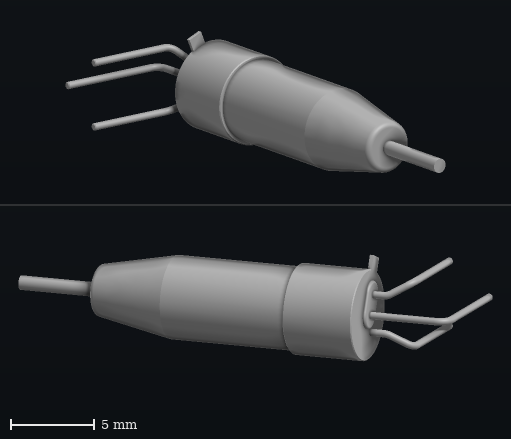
import cadquery as cq
import math

flange_diameter = 5.56
flange_length = 4.45
flange_chamfer = 0.06
body_diameter = 5.1
body_end = 12.45
nose_length = 4.98
nose_diameter = 3.1
nose_fillet = 0.35
fiber_diameter = 0.88
fiber_length = 5.0

index_angle = 22.5
tab_width = 0.95
tab_thickness = 0.25
tab_reach = 3.6
pad_radius = 0.85
pad_height = 0.18
pad_fillet = 0.15

pin_circle_radius = 1.27
lead_diameter = 0.45
lead_bend_radius = 0.7
lead_tip_y = -7.0
lead_tip_chamfer = 0.06
lead_root_x = 0.3
center_lead_x = -5.075
outer_lead_x = -2.5
outer_lead_z = 2.0
outer_splay_x = -1.05
outer_turn_y = -1.14

nose_end = body_end + nose_length
pin_y = -pin_circle_radius * math.sin(math.radians(index_angle))
pin_z = pin_circle_radius * math.cos(math.radians(index_angle))


def make_barrel():
    """Flange, body and conical nose turned about X, with the fiber on the nose."""
    flange_radius = flange_diameter / 2
    body_radius = body_diameter / 2
    nose_radius = nose_diameter / 2
    profile = (
        cq.Workplane("XY")
        .lineTo(0, flange_radius - flange_chamfer)
        .lineTo(flange_chamfer, flange_radius)
        .lineTo(flange_length - flange_chamfer, flange_radius)
        .lineTo(flange_length, flange_radius - flange_chamfer)
        .lineTo(flange_length, body_radius)
        .lineTo(body_end, body_radius)
        .lineTo(nose_end, nose_radius)
        .lineTo(nose_end, 0)
        .close()
    )
    barrel = profile.revolve(360, (0, 0, 0), (1, 0, 0)).faces(">X").edges().fillet(nose_fillet)
    fiber = cq.Workplane("YZ", origin=(nose_end, 0, 0)).circle(fiber_diameter / 2).extrude(fiber_length)
    return barrel.union(fiber)


def turn_to_index(shape):
    """Tilt a feature built along +Z to the index direction."""
    return shape.rotate((0, 0, 0), (1, 0, 0), index_angle)


def make_tab():
    """Flat index tab reaching past the flange rim at its rear face."""
    tab = cq.Workplane("XY").box(tab_thickness, tab_width, tab_reach, centered=(False, True, False))
    return turn_to_index(tab)


def make_pad():
    """Low rounded-end pad spanning the center pin and the upper outer pin."""
    pad = (
        cq.Workplane("YZ")
        .center(0, pin_circle_radius / 2)
        .slot2D(pin_circle_radius + 2 * pad_radius, 2 * pad_radius, 90)
        .extrude(-pad_height)
        .faces("<X")
        .edges()
        .fillet(pad_fillet)
    )
    return turn_to_index(pad)


def make_lead(corners):
    """Round wire along the corner points, with every inner corner bent to the bend radius."""
    points = [cq.Vector(*corner) for corner in corners]
    edges = []
    start = points[0]
    for before, corner, after in zip(points, points[1:], points[2:]):
        back = (before - corner).normalized()
        ahead = (after - corner).normalized()
        half_angle = back.getAngle(ahead) / 2
        setback = lead_bend_radius / math.tan(half_angle)
        bend_start = corner + back * setback
        bend_end = corner + ahead * setback
        inward = (back + ahead).normalized()
        bend_middle = corner + inward * (lead_bend_radius / math.sin(half_angle) - lead_bend_radius)
        edges.append(cq.Edge.makeLine(start, bend_start))
        edges.append(cq.Edge.makeThreePointArc(bend_start, bend_middle, bend_end))
        start = bend_end
    edges.append(cq.Edge.makeLine(start, points[-1]))
    path = cq.Wire.assembleEdges(edges)
    lead = cq.Workplane("YZ", origin=corners[0]).circle(lead_diameter / 2).sweep(path)
    return lead.faces("<Y").edges().chamfer(lead_tip_chamfer)


center_lead = make_lead([
    (lead_root_x, 0, 0),
    (center_lead_x, 0, 0),
    (center_lead_x, lead_tip_y, 0),
])

result = make_barrel().union(make_tab()).union(make_pad()).union(center_lead)

for side in (1, -1):
    outer_lead = make_lead([
        (lead_root_x, pin_y, side * pin_z),
        (outer_splay_x, pin_y, side * pin_z),
        (outer_lead_x, outer_turn_y, side * outer_lead_z),
        (outer_lead_x, lead_tip_y, side * outer_lead_z),
    ])
    result = result.union(outer_lead)